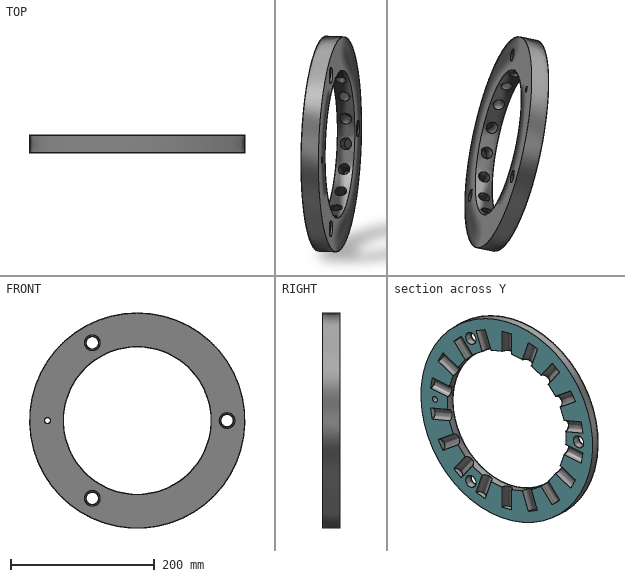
import cadquery as cq

outer_diameter = 300.0
inner_diameter = 205.8
thickness = 25.0
front_y = -thickness / 2

pitch_radius = 125.0
bolt_count = 3
bolt_diameter = 17.0
counterbore_diameter = 22.0
counterbore_depth = 3.0
pin_diameter = 8.0

radial_count = 18
radial_diameter = 16.0
radial_depth = 30.0


def axial_cylinder(diameter, length, x=0.0):
    """Cylinder along +Y that starts on the front face."""
    return cq.Workplane(
        cq.Solid.makeCylinder(diameter / 2, length, cq.Vector(x, front_y, 0), cq.Vector(0, 1, 0))
    )


def turn(shape, angle):
    """Turn a shape about the ring axis."""
    return shape.rotate((0, 0, 0), (0, 1, 0), angle)


ring = axial_cylinder(outer_diameter, thickness).cut(axial_cylinder(inner_diameter, thickness))

bolt_hole = axial_cylinder(bolt_diameter, thickness, pitch_radius).union(
    axial_cylinder(counterbore_diameter, counterbore_depth, pitch_radius)
)
for index in range(bolt_count):
    ring = ring.cut(turn(bolt_hole, index * 360 / bolt_count))

ring = ring.cut(axial_cylinder(pin_diameter, thickness, -pitch_radius))

radial_reach = inner_diameter / 2 + radial_depth
radial_hole = cq.Workplane("YZ").circle(radial_diameter / 2).extrude(radial_reach)
radial_step = 360 / radial_count
for index in range(radial_count):
    ring = ring.cut(turn(radial_hole, (index + 0.5) * radial_step))

result = ring